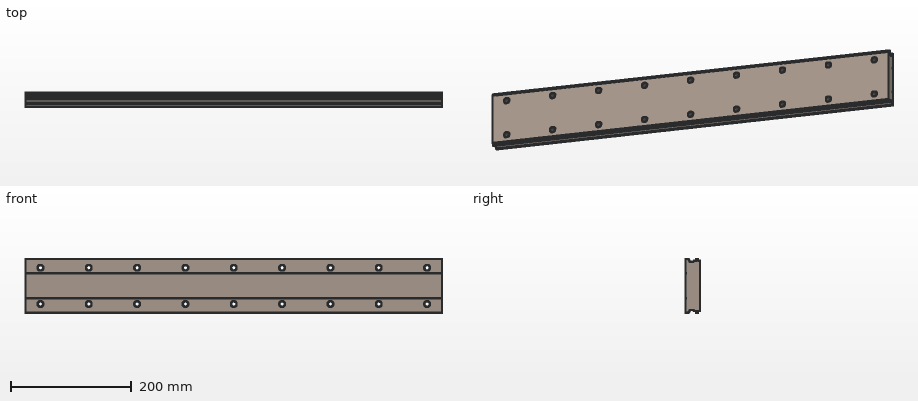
import cadquery as cq

length = 690.0
thickness = 24.0
height = 90.0

front = -thickness / 2
back = thickness / 2
half_height = height / 2

edge_groove_depth = 5.0
front_lip_width = 5.0
front_slope_width = 3.0
back_lip_width = 3.5
shoulder_width = 3.2
shoulder_depth = 3.1

face_groove_width = 1.0
face_groove_depth = 1.0
face_groove_offset = 21.0

hole_diameter = 9.0
holes_per_row = 9
hole_pitch = 80.0
hole_row_spacing = 60.0


def rail_body():
    """Extrude the cross-section, drawn in the YZ plane, along X."""
    groove_floor = half_height - edge_groove_depth
    shoulder_level = half_height - shoulder_depth
    front_lip_end = front + front_lip_width
    back_lip_start = back - shoulder_width
    back_lip_end = back_lip_start - back_lip_width
    inner_shoulder_end = back_lip_end - shoulder_width
    back_slope_width = shoulder_level - groove_floor
    upper_edge = [
        (front, half_height),
        (front_lip_end, half_height),
        (front_lip_end + front_slope_width, groove_floor),
        (inner_shoulder_end - back_slope_width, groove_floor),
        (inner_shoulder_end, shoulder_level),
        (back_lip_end, shoulder_level),
        (back_lip_end, half_height),
        (back_lip_start, half_height),
        (back_lip_start, shoulder_level),
        (back, shoulder_level),
    ]
    lower_edge = [(y, -z) for y, z in reversed(upper_edge)]
    return (
        cq.Workplane("YZ")
        .polyline(upper_edge + lower_edge)
        .close()
        .extrude(length / 2, both=True)
    )


def face_groove(z):
    """Bar that cuts one full-length groove into the front face, centred at height z."""
    return (
        cq.Workplane("XY")
        .box(length, 2 * face_groove_depth, face_groove_width)
        .translate((0, front, z))
    )


def mounting_holes():
    """Cylinders for every hole, running through the thickness."""
    return (
        cq.Workplane("XZ")
        .rarray(hole_pitch, hole_row_spacing, holes_per_row, 2)
        .circle(hole_diameter / 2)
        .extrude(thickness / 2, both=True)
    )


result = rail_body().cut(mounting_holes())
for side in (-1, 1):
    result = result.cut(face_groove(side * face_groove_offset))